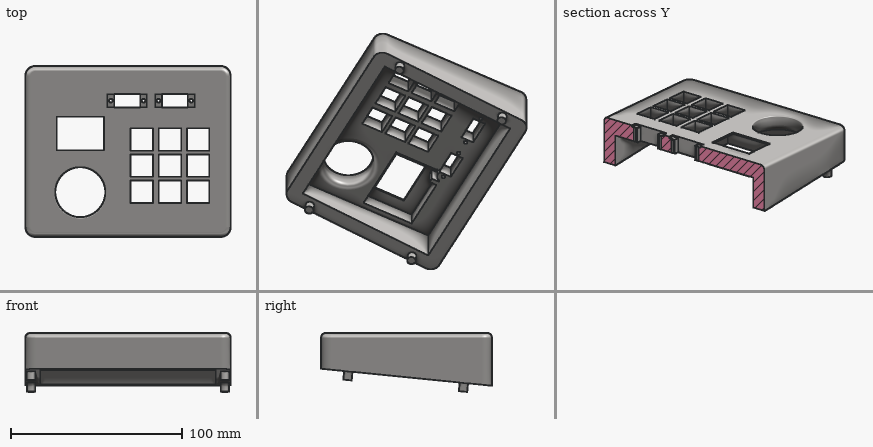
import cadquery as cq
import math

length = 120.0
width = 100.0
front_height = 21.0
back_height = 31.0
corner_radius = 6.0
top_fillet = 3.0

deck_thickness = 10.0
wall_thickness = 8.6

foot_diameter = 5.0
foot_length = 5.0
foot_edge_distance = 3.5
foot_spacing_y = 67.5
foot_shift_to_front = 0.2

key_size = 13.0
key_count = 3
key_pitch_x = 16.5
key_pitch_y = 15.2
keypad_x = 24.5
keypad_y = -8.3

display_length = 27.5
display_width = 19.5
display_x = -27.8
display_y = 10.5
display_skin = 1.0
seat_margin_x = 6.7
seat_margin_front = 3.6
seat_margin_back = 8.6
seat_rib_left_x = -17.2
seat_rib_thickness = 2.8
seat_rib_length = 4.5

button_diameter = 29.0
button_top_fillet = 1.0
button_bottom_fillet = 4.0
button_x = -27.8
button_y = -23.8

connector_centers_x = (-0.5, 27.4)
connector_y = 29.6
connector_seat_length = 23.0
connector_width = 7.7
connector_seat_depth = 1.0
connector_slot_length = 15.0
connector_floor_thickness = 1.0
screw_diameter = 2.0
screw_boss_diameter = 7.5
screw_spacing = 19.1

slope = math.atan((back_height - front_height) / width)
through_depth = back_height + 1.2


def box_down(size_x, size_y, x, y, depth, top_z=0.0):
    """Upright block hanging from top_z by depth, centred on (x, y)."""
    return cq.Workplane("XY", origin=(x, y, top_z)).rect(size_x, size_y).extrude(-depth)


def cylinder_down(diameter, x, y, depth, top_z=0.0):
    """Upright cylinder hanging from top_z by depth, centred on (x, y)."""
    return cq.Workplane("XY", origin=(x, y, top_z)).circle(diameter / 2).extrude(-depth)


def make_case():
    """Rounded wedge: flat top, underside sloping down towards +Y, open cavity."""
    block = box_down(length, width, 0, 0, back_height)
    block = block.edges("|Z").fillet(corner_radius).faces(">Z").edges().fillet(top_fillet)
    wedge = (
        cq.Workplane("YZ")
        .polyline([
            (-width / 2, 0),
            (width / 2, 0),
            (width / 2, -back_height),
            (-width / 2, -front_height),
        ])
        .close()
        .extrude(length / 2, both=True)
    )
    cavity = box_down(
        length - 2 * wall_thickness, width - 2 * wall_thickness, 0, 0, through_depth, -deck_thickness
    )
    return block.intersect(wedge).cut(cavity)


def make_feet():
    """Four round feet standing square to the sloped underside."""
    middle_z = -(front_height + back_height) / 2
    underside = cq.Plane(
        origin=(0, 0, middle_z), xDir=(1, 0, 0), normal=(0, -math.sin(slope), -math.cos(slope))
    )
    spacing_x = length - 2 * foot_edge_distance
    return (
        cq.Workplane(underside)
        .center(0, foot_shift_to_front)
        .rect(spacing_x, foot_spacing_y / math.cos(slope), forConstruction=True)
        .vertices()
        .circle(foot_diameter / 2)
        .extrude(foot_length)
    )


def cut_keypad(body):
    key_block = box_down(key_size, key_size, keypad_x, keypad_y, through_depth)
    middle = (key_count - 1) / 2
    for column in range(key_count):
        for row in range(key_count):
            offset = ((column - middle) * key_pitch_x, (row - middle) * key_pitch_y, 0)
            body = body.cut(key_block.translate(offset))
    return body


def cut_display(body):
    window = box_down(display_length, display_width, display_x, display_y, through_depth)
    seat_back = display_y + display_width / 2 + seat_margin_back
    seat = box_down(
        display_length + 2 * seat_margin_x,
        display_width + seat_margin_front + seat_margin_back,
        display_x,
        display_y + (seat_margin_back - seat_margin_front) / 2,
        deck_thickness - display_skin,
        -display_skin,
    )
    rib = box_down(
        seat_rib_thickness,
        seat_rib_length,
        seat_rib_left_x + seat_rib_thickness / 2,
        seat_back - seat_rib_length / 2,
        deck_thickness - display_skin,
        -display_skin,
    )
    return body.cut(window).cut(seat.cut(rib))


def cut_button(body):
    """Cut the opening as a turned shape: half profile (radius, z) spun about Z."""
    radius = button_diameter / 2
    arc_inset = 1 - math.sqrt(0.5)
    top_middle = (radius + button_top_fillet * arc_inset, -button_top_fillet * arc_inset)
    bottom_middle = (
        radius + button_bottom_fillet * arc_inset,
        -deck_thickness + button_bottom_fillet * arc_inset,
    )
    opening = (
        cq.Workplane("XZ")
        .moveTo(0, 0)
        .lineTo(radius + button_top_fillet, 0)
        .threePointArc(top_middle, (radius, -button_top_fillet))
        .lineTo(radius, button_bottom_fillet - deck_thickness)
        .threePointArc(bottom_middle, (radius + button_bottom_fillet, -deck_thickness))
        .lineTo(0, -deck_thickness)
        .close()
        .revolve(360, (0, 0), (0, 1))
    )
    return body.cut(opening.translate((button_x, button_y, 0)))


def add_connector(body, x):
    """Slot and seat, with the floor and screw bosses kept where the display seat runs under them."""
    screws_x = [x + side * screw_spacing / 2 for side in (-1, 1)]
    floor_bottom = connector_seat_depth + connector_floor_thickness
    body = body.union(box_down(connector_seat_length, connector_width, x, connector_y, floor_bottom))
    for screw_x in screws_x:
        body = body.union(cylinder_down(screw_boss_diameter, screw_x, connector_y, deck_thickness))
    seat = box_down(connector_seat_length, connector_width, x, connector_y, connector_seat_depth)
    slot = box_down(connector_slot_length, connector_width, x, connector_y, through_depth)
    body = body.cut(seat).cut(slot)
    for screw_x in screws_x:
        body = body.cut(cylinder_down(screw_diameter, screw_x, connector_y, through_depth))
    return body


case = cut_button(make_case())
case = cut_display(cut_keypad(case))
for center_x in connector_centers_x:
    case = add_connector(case, center_x)
result = case.union(make_feet())